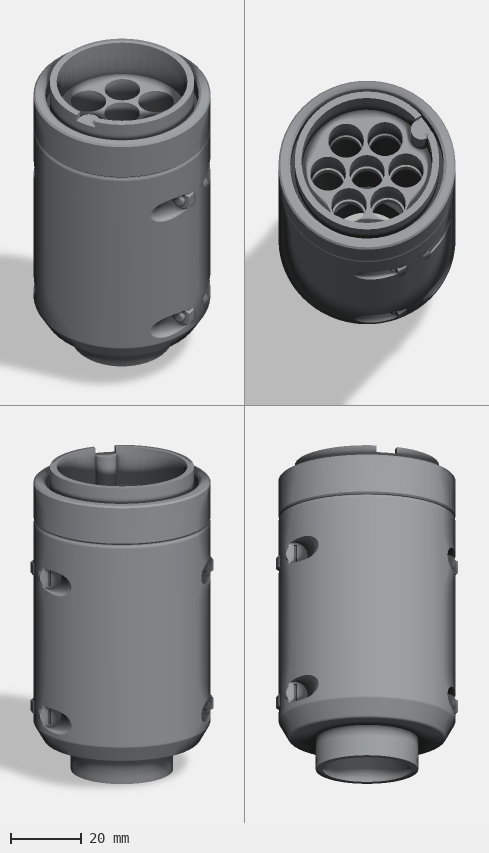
import cadquery as cq
import math

length = 89.5
body_diameter = 50.0
stub_diameter = 29.0
stub_bore = 25.0
stub_height = 8.95
shoulder_diameter = 44.1
shoulder_top = 14.1
shoulder_edge_radius = 1.0
body_top = 74.0
body_edge_radius = 1.1
nut_top = 85.6
nut_edge_chamfer = 0.5
ring_diameter = 40.8
ring_bore = 37.0

gap_mouth = 44.9
gap_diameter = 43.4
seat_diameter = 43.0
gap_flare_height = 0.5
gap_depth = 5.0
relief_depth = 0.5

insert_depth = 11.0
insert_thickness = 13.4
contact_bore = 10.0
contact_exit = 8.95
contact_exit_length = 2.7
contact_circle_radius = 11.0
outer_contacts = 6
cavity_diameter = 33.0
floor_thickness = 2.7

key_width = 6.0
key_center_y = -18.3
key_recess = 2.0

screw_offset = 22.5
screw_heights = (19.15, 60.05)
pocket_diameter = 7.0
pocket_floor = 4.9
pocket_length = body_diameter / 2
screw_diameter = 3.0
screw_tip = 6.7
screw_tip_chamfer = 0.3
head_diameter = 5.55
head_start = 2.9
head_end = 5.0
slot_width = 0.8
slot_depth = 0.8
hex_flats = 5.55
hex_half_angle = 30
hex_start = 2.8
hex_end = 5.5

insert_top = length - insert_depth
insert_bottom = insert_top - insert_thickness
cavity_floor = stub_height + floor_thickness


def disc(diameter, bottom, top, x=0, y=0):
    """Vertical cylinder between two heights."""
    return cq.Workplane("XY", origin=(x, y, bottom)).circle(diameter / 2).extrude(top - bottom)


def make_shell():
    """Outer solid: stub, rounded body with its conical shoulder, chamfered nut, ring."""
    body_radius = body_diameter / 2
    body_profile = [
        (0, stub_height),
        (shoulder_diameter / 2, stub_height),
        (body_radius, shoulder_top),
        (body_radius, body_top),
        (0, body_top),
    ]
    body = cq.Workplane("XZ").polyline(body_profile).close().revolve(360, (0, 0), (0, 1))
    body = body.edges("%CIRCLE and (not >Z)").fillet(shoulder_edge_radius)
    body = body.faces(">Z").edges().fillet(body_edge_radius)
    nut = disc(body_diameter, body_top, nut_top).edges("%CIRCLE").chamfer(nut_edge_chamfer)
    stub = disc(stub_diameter, 0, stub_height)
    ring = disc(ring_diameter, nut_top, length)
    return stub.union(body).union(nut).union(ring)


def make_gap():
    """Annular gap around the ring: flared mouth, flat seat and a fine relief groove at the wall."""
    seat = nut_top - gap_depth
    profile = [
        (ring_diameter / 2, seat),
        (seat_diameter / 2, seat),
        (seat_diameter / 2, seat - relief_depth),
        (gap_diameter / 2, seat - relief_depth),
        (gap_diameter / 2, nut_top - gap_flare_height),
        (gap_mouth / 2, nut_top),
        (ring_diameter / 2, nut_top),
    ]
    return cq.Workplane("XZ").polyline(profile).close().revolve(360, (0, 0), (0, 1))


def make_contact_holes():
    """One central and six surrounding stepped holes through the insert."""
    spots = [(0, 0)]
    for i in range(outer_contacts):
        angle = 2 * math.pi * i / outer_contacts
        x = contact_circle_radius * math.cos(angle)
        y = contact_circle_radius * math.sin(angle)
        spots.append((x, y))
    step = insert_bottom + contact_exit_length
    holes = cq.Workplane("XY")
    for x, y in spots:
        holes = holes.add(disc(contact_bore, step, insert_top, x, y))
        holes = holes.add(disc(contact_exit, insert_bottom, step, x, y))
    return holes.combine()


def add_key(part):
    """Round-nosed key standing on the insert and filling a notch in the ring."""
    key_top = length - key_recess
    notch_length = ring_diameter / 2 + key_center_y
    notch = disc(key_width, key_top, length, 0, key_center_y).union(
        cq.Workplane("XY")
        .box(key_width, notch_length, key_recess, centered=(True, False, False))
        .translate((0, -ring_diameter / 2, key_top))
    )
    key = disc(key_width, insert_top, key_top, 0, key_center_y)
    key = key.intersect(disc(ring_diameter, insert_top, key_top))
    return part.union(key).cut(notch)


def along_y(start):
    """Workplane facing -Y on the screw axis, at the given distance in front of Y = 0."""
    return cq.Workplane("XZ", origin=(screw_offset, -start, 0))


def make_pocket():
    """Access pocket that opens outward along -Y from its floor."""
    return along_y(pocket_floor).circle(pocket_diameter / 2).extrude(pocket_length)


def make_hex_end():
    """Hexagonal nut with the screw tip standing out of it; corners point up and down."""
    corner_diameter = hex_flats / math.cos(math.radians(hex_half_angle))
    hexagon = cq.Workplane("XZ").polygon(6, corner_diameter).extrude(hex_end - hex_start)
    hexagon = hexagon.rotate((0, 0, 0), (0, 1, 0), hex_half_angle).translate((screw_offset, -hex_start, 0))
    tip = along_y(hex_start).circle(screw_diameter / 2).extrude(screw_tip - hex_start)
    return hexagon.union(tip.faces("<Y").chamfer(screw_tip_chamfer))


def make_head_end():
    """Slotted screw head, barely proud of the pocket floor."""
    head = along_y(head_start).circle(head_diameter / 2).extrude(head_end - head_start)
    slot = along_y(head_end - slot_depth).rect(slot_width, head_diameter).extrude(slot_depth)
    return head, slot


def add_screws(part):
    """Four screws: hexagon end and head end face opposite ways, the sides are half a turn apart."""
    head, slot = make_head_end()
    hex_pocket = make_pocket()
    head_pocket = hex_pocket.mirror("XZ")
    hex_end_shape = make_hex_end()
    head = head.mirror("XZ")
    slot = slot.mirror("XZ")

    def place(shape, side_angle, height):
        return shape.translate((0, 0, height)).rotate((0, 0, 0), (0, 0, 1), side_angle)

    for side_angle in (0, 180):
        for height in screw_heights:
            for pocket in (hex_pocket, head_pocket):
                part = part.cut(place(pocket, side_angle, height))
            for screw_end in (hex_end_shape, head):
                part = part.union(place(screw_end, side_angle, height))
            part = part.cut(place(slot, side_angle, height))
    return part


result = make_shell().cut(make_gap())
result = result.cut(disc(ring_bore, insert_top, length))
result = result.cut(disc(cavity_diameter, cavity_floor, insert_bottom))
result = result.cut(disc(stub_bore, 0, cavity_floor))
result = result.cut(make_contact_holes())
result = add_key(result)
result = add_screws(result)